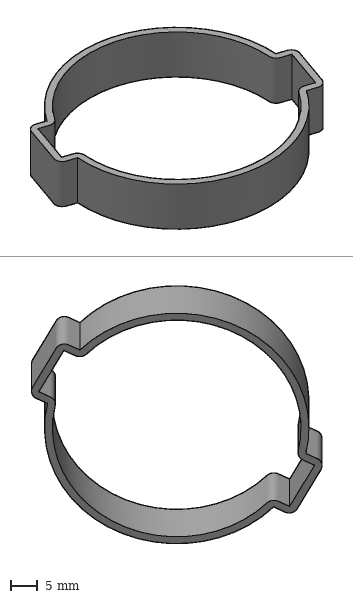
import cadquery as cq
import math

BAND_WIDTH = 10.5
BAND_THICKNESS = 1.5
RING_OUTER_DIAMETER = 49.5
LENGTH_OVER_EARS = 55.99
EAR_OUTER_WIDTH = 13.0
EAR_CORNER_RADIUS = 1.75
EAR_ROOT_RADIUS = 1.75

RING_INNER_DIAMETER = RING_OUTER_DIAMETER - 2 * BAND_THICKNESS
EAR_INNER_WIDTH = EAR_OUTER_WIDTH - 2 * BAND_THICKNESS
LENGTH_INSIDE_EARS = LENGTH_OVER_EARS - 2 * BAND_THICKNESS
EAR_ROOT_Y = math.sqrt((RING_INNER_DIAMETER / 2) ** 2 - (EAR_INNER_WIDTH / 2) ** 2)
SELECTION_MARGIN = 0.1


def disc_with_ears(diameter, ear_width, length):
    """Solid round plate crossed by a bar that sticks out as an ear at each Y end."""
    disc = cq.Workplane("XY").circle(diameter / 2).extrude(BAND_WIDTH)
    bar = cq.Workplane("XY").rect(ear_width, length).extrude(BAND_WIDTH)
    return disc.union(bar)


def outer_body():
    """Outside envelope of the band, with the outer corners of the ears rounded."""
    body = disc_with_ears(RING_OUTER_DIAMETER, EAR_OUTER_WIDTH, LENGTH_OVER_EARS)
    for ear_face in (">Y", "<Y"):
        body = body.faces(ear_face).edges("|Z").fillet(EAR_CORNER_RADIUS)
    return body


def inner_body():
    """Space inside the band, with square ear corners."""
    return disc_with_ears(RING_INNER_DIAMETER, EAR_INNER_WIDTH, LENGTH_INSIDE_EARS)


def round_ear_roots(band):
    """Round the four inside edges where the ear walls run into the bore."""
    for side_x in (-1, 1):
        for side_y in (-1, 1):
            x = side_x * EAR_INNER_WIDTH / 2
            y = side_y * EAR_ROOT_Y
            around_root = cq.selectors.BoxSelector(
                (x - SELECTION_MARGIN, y - SELECTION_MARGIN, 0),
                (x + SELECTION_MARGIN, y + SELECTION_MARGIN, BAND_WIDTH),
            )
            band = band.edges("|Z").edges(around_root).fillet(EAR_ROOT_RADIUS)
    return band


result = round_ear_roots(outer_body().cut(inner_body()))